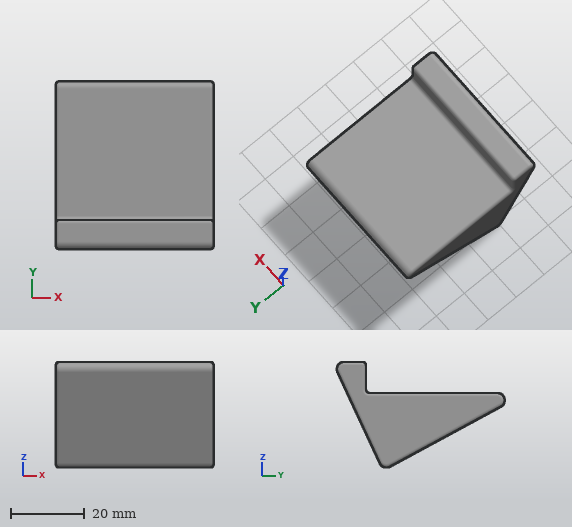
import cadquery as cq
import math

width = 43.0
depth = 45.75
height = 28.8
seat_height = 20.35
lip_depth = 8.0
keel_y = 13.55

corner_radius = 2.0
edge_radius = 1.0

front_center = (corner_radius, height - corner_radius)
rear_center = (depth - corner_radius, seat_height - corner_radius)
keel_center = (keel_y, corner_radius)


def slope_angle(start, end):
    """Angle above the horizontal of the line joining two points, in radians."""
    return math.atan2(abs(end[1] - start[1]), abs(end[0] - start[0]))


front_angle = slope_angle(keel_center, front_center)
under_angle = slope_angle(keel_center, rear_center)

front_y = front_center[0] - corner_radius / math.tan(front_angle / 2)
rear_y = rear_center[0] + corner_radius / math.tan(under_angle / 2)
front_slope = math.tan(front_angle)
under_slope = math.tan(under_angle)
keel_corner_y = (height - seat_height + front_slope * front_y + under_slope * rear_y) / (
    front_slope + under_slope
)
keel_corner_z = height - front_slope * (keel_corner_y - front_y)

profile = [
    (front_y, height),
    (lip_depth, height),
    (lip_depth, seat_height),
    (rear_y, seat_height),
    (keel_corner_y, keel_corner_z),
]
large_corners = [profile[0], profile[3], profile[4]]
small_corners = [profile[1], profile[2]]


def round_corners(body, corners, radius):
    """Fillet the edges along X that pass through the given (Y, Z) corners."""
    for y, z in corners:
        body = body.edges(cq.selectors.NearestToPointSelector((width / 2, y, z))).fillet(radius)
    return body


stand = cq.Workplane("YZ").polyline(profile).close().extrude(width)
stand = round_corners(stand, large_corners, corner_radius)
stand = round_corners(stand, small_corners, edge_radius)

result = stand.faces("<X or >X").edges().fillet(edge_radius)